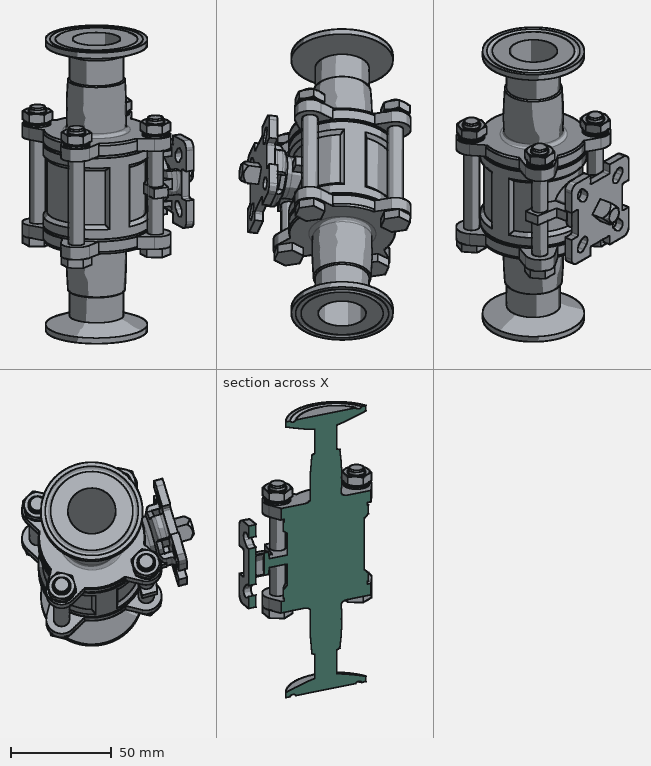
import cadquery as cq
import math


half_length = 75.0
bore_dia = 23.7
ferrule_dia = 50.5
ferrule_rim = 3.0
ferrule_height = 7.5
tube_dia = 26.8
groove_inner_r = 20.4
groove_outer_r = 23.1
groove_depth = 0.9
hub_end_z = 54.6
hub_end_r = 14.2
hub_lip = 0.6
hub_belly_z = 42.0
hub_belly_r = 14.8
hub_root_r = 14.7
hub_root_fillet = 2.0

overall_width = 59.0
disc_dia = 53.0
plate_inner_z = 22.0
plate_outer_z = 28.5
disc_edge_width = 0.5
disc_edge_height = 1.2
lug_r = 7.6
bolt_offset = overall_width / 2 - lug_r
lug_half_taper = 15.0
body_dia = disc_dia
body_half_height = 20.8
neck_dia = 52.0
recess_dia = 49.0
recess_half_height = 15.9
recess_slope = 2.0
strip_half_width = 5.4
strip_slope = 1.4

bolt_dia = 8.0
thread_end_z = 37.5
thread_chamfer_height = 0.9
thread_chamfer_width = 0.38
hex_flats = 13.0
hex_chamfer = 0.5
countersink_dia = 9.2
countersink_depth = 0.6
washer_dia = 13.0
washer_top_z = 29.4
seat_dia = 12.8
nut_bottom_z = 30.3
nut_top_z = 35.2
head_height = 4.5

mount_back_y = 38.5
mount_front_y = 42.8
mount_size = 45.0
mount_corner_r = 4.0
notch_width = 15.2
notch_depth = 5.1
notch_corner_r = 0.9
slot_width = 5.5
slot_inner_r = 18.0
slot_outer_r = 21.0
boss_dia = 21.0
boss_flare_y = 28.2
cup_root_r = 11.2
rim_r = 13.0
rim_y = 34.2
leg_width = 12.5
leg_outer_r = 15.6
leg_foot_r = 1.6
leg_knee_y = 34.2
leg_knee_r = 2.1
leg_slope = 27.5

overall_depth = 81.2
stem_dia = 12.5
stem_tip_y = overall_depth - overall_width / 2
stem_tip_chamfer = 2.4

stop_half_height = 2.5
stop_left_x = -16.5
stop_right_x = 28.2
stop_bar_y = 27.8
stop_end_y = 25.8
stop_root_y = 18.0
stop_post_inner_x = 9.0
stop_post_x = 15.9


def cylinder_z(diameter, bottom, top):
    return cq.Workplane("XY").workplane(offset=bottom).circle(diameter / 2).extrude(top - bottom)


def cylinder_y(diameter, start, end):
    return cq.Workplane("XZ").workplane(offset=-start).circle(diameter / 2).extrude(start - end)


def box_between(x_range, y_range, z_range):
    sizes = [end - start for start, end in (x_range, y_range, z_range)]
    corner = (x_range[0], y_range[0], z_range[0])
    return cq.Workplane("XY").box(*sizes, centered=False).translate(corner)


def hexagon(bottom, top):
    across_corners = hex_flats / math.cos(math.pi / 6)
    return cq.Workplane("XY").workplane(offset=bottom).polygon(6, across_corners).extrude(top - bottom)


def end_fitting():
    root_z = plate_outer_z + hub_root_fillet
    fillet_mid = hub_root_fillet * (1 - math.sqrt(0.5))
    groove_mid_r = (groove_inner_r + groove_outer_r) / 2
    return (
        cq.Workplane("XZ")
        .moveTo(0, plate_inner_z)
        .lineTo(hub_root_r + hub_root_fillet, plate_inner_z)
        .lineTo(hub_root_r + hub_root_fillet, plate_outer_z)
        .threePointArc((hub_root_r + fillet_mid, plate_outer_z + fillet_mid), (hub_root_r, root_z))
        .threePointArc((hub_belly_r, hub_belly_z), (hub_end_r, hub_end_z - hub_lip))
        .lineTo(tube_dia / 2, hub_end_z)
        .lineTo(tube_dia / 2, half_length - ferrule_height)
        .lineTo(ferrule_dia / 2, half_length - ferrule_rim)
        .lineTo(ferrule_dia / 2, half_length)
        .lineTo(groove_outer_r, half_length)
        .threePointArc((groove_mid_r, half_length - groove_depth), (groove_inner_r, half_length))
        .lineTo(0, half_length)
        .close()
        .revolve(360, (0, 0, 0), (0, 1, 0))
    )


def clamp_lug():
    taper = math.radians(lug_half_taper)
    centre = math.hypot(bolt_offset, bolt_offset)
    tangent_x = centre + lug_r * math.sin(taper)
    tangent_y = lug_r * math.cos(taper)
    root_x = disc_dia / 2 * math.cos(math.pi / 6)
    root_y = tangent_y + (tangent_x - root_x) * math.tan(taper)
    return (
        cq.Workplane("XY")
        .workplane(offset=plate_inner_z)
        .moveTo(root_x, -root_y)
        .lineTo(tangent_x, -tangent_y)
        .threePointArc((centre + lug_r, 0), (tangent_x, tangent_y))
        .lineTo(root_x, root_y)
        .close()
        .extrude(plate_outer_z - plate_inner_z)
        .rotate((0, 0, 0), (0, 0, 1), 45)
    )


def clamp_plate():
    disc_r = disc_dia / 2
    plate = (
        cq.Workplane("XZ")
        .moveTo(0, plate_inner_z)
        .lineTo(disc_r, plate_inner_z)
        .lineTo(disc_r, plate_outer_z - disc_edge_height)
        .lineTo(disc_r - disc_edge_width, plate_outer_z)
        .lineTo(0, plate_outer_z)
        .close()
        .revolve(360, (0, 0, 0), (0, 1, 0))
    )
    for quarter in range(4):
        plate = plate.union(clamp_lug().rotate((0, 0, 0), (0, 0, 1), 90 * quarter))
    return plate


def valve_body():
    body_r = body_dia / 2
    recess_r = recess_dia / 2
    ring = (
        cq.Workplane("XZ")
        .moveTo(recess_r, recess_slope - recess_half_height)
        .lineTo(body_r, -recess_half_height)
        .lineTo(body_r, recess_half_height)
        .lineTo(recess_r, recess_half_height - recess_slope)
        .close()
        .revolve(360, (0, 0, 0), (0, 1, 0))
    )
    crest = (math.sqrt(body_r**2 - strip_half_width**2), strip_half_width)
    foot_half_width = strip_half_width + strip_slope
    foot = (math.sqrt(recess_r**2 - foot_half_width**2), foot_half_width)
    strip = (
        cq.Workplane("XY")
        .workplane(offset=-recess_half_height)
        .lineTo(*foot)
        .lineTo(*crest)
        .threePointArc((body_r, 0), (crest[0], -crest[1]))
        .lineTo(foot[0], -foot[1])
        .close()
        .extrude(2 * recess_half_height)
    )
    ring = ring.cut(strip).cut(strip.mirror("YZ"))
    body = cylinder_z(body_dia, -body_half_height, body_half_height)
    return body.union(cylinder_z(neck_dia, -plate_inner_z, plate_inner_z)).cut(ring)


def bolt():
    head = hexagon(-plate_outer_z - head_height, -plate_outer_z)
    shank = cylinder_z(bolt_dia, -plate_outer_z, plate_outer_z)
    washer = cylinder_z(washer_dia, plate_outer_z, washer_top_z)
    seat = cylinder_z(seat_dia, washer_top_z, nut_bottom_z)
    chamfer_cone = (
        cq.Workplane("XY")
        .workplane(offset=nut_bottom_z)
        .circle(hex_flats / math.sqrt(3))
        .extrude(nut_top_z - nut_bottom_z)
        .edges()
        .chamfer(hex_chamfer, hex_flats / math.sqrt(3) - hex_flats / 2)
    )
    nut = hexagon(nut_bottom_z, nut_top_z).intersect(chamfer_cone)
    countersink = (
        cylinder_z(countersink_dia, nut_top_z - countersink_depth, nut_top_z)
        .faces("<Z")
        .chamfer(countersink_depth / 2, (countersink_dia - bolt_dia) / 2)
    )
    nut = nut.cut(countersink)
    thread = (
        cylinder_z(bolt_dia, plate_outer_z, thread_end_z)
        .faces(">Z")
        .chamfer(thread_chamfer_height, thread_chamfer_width)
    )
    return head.union(shank).union(washer).union(seat).union(nut).union(thread)


def mount_plate():
    half = mount_size / 2
    thickness = mount_front_y - mount_back_y
    back = cq.Workplane("XZ").workplane(offset=-mount_back_y)
    plate = back.rect(mount_size, mount_size).extrude(-thickness).edges("|Y").fillet(mount_corner_r)
    notch = (
        back.center(half, 0)
        .rect(2 * notch_depth, notch_width)
        .extrude(-thickness)
        .edges("|Y")
        .fillet(notch_corner_r)
    )
    slot_length = slot_outer_r - slot_inner_r + slot_width
    slot = (
        back.center((slot_inner_r + slot_outer_r) / 2, 0)
        .slot2D(slot_length, slot_width)
        .extrude(-thickness)
    )
    for quarter in range(4):
        plate = plate.cut(notch.rotate((0, 0, 0), (0, 1, 0), 90 * quarter))
        plate = plate.cut(slot.rotate((0, 0, 0), (0, 1, 0), 45 + 90 * quarter))
    return plate


def bracket_base():
    slope = math.radians(leg_slope)
    knee_x = leg_outer_r - leg_knee_r * (1 - math.sin(slope))
    knee_y = leg_knee_y - leg_knee_r * math.cos(slope)
    cup_root_y = knee_y - (knee_x - cup_root_r) * math.tan(slope)
    return (
        cq.Workplane("XY")
        .lineTo(boss_dia / 2, 0)
        .lineTo(boss_dia / 2, boss_flare_y)
        .lineTo(cup_root_r, cup_root_y)
        .lineTo(knee_x, knee_y)
        .radiusArc((leg_outer_r, leg_knee_y), -leg_knee_r)
        .lineTo(leg_outer_r, mount_back_y - leg_foot_r)
        .radiusArc((leg_outer_r + leg_foot_r, mount_back_y), leg_foot_r)
        .lineTo(0, mount_back_y)
        .close()
        .revolve(360, (0, 0, 0), (0, 1, 0))
    )


def bracket():
    base = bracket_base()
    core = base.intersect(cylinder_y(2 * rim_r, 0, rim_y))
    wall = base.cut(cylinder_y(2 * rim_r, 0, mount_back_y))
    width = (-leg_width / 2, leg_width / 2)
    reach = (-mount_size / 2, mount_size / 2)
    height = (boss_flare_y, mount_back_y)
    legs_x = wall.intersect(box_between(reach, height, width))
    legs_z = wall.intersect(box_between(width, height, reach))
    return core.union(legs_x).union(legs_z)


def stem():
    shaft = cylinder_y(stem_dia, 0, mount_front_y)
    drive = (
        cq.Workplane("XZ")
        .workplane(offset=-mount_back_y)
        .polygon(4, stem_dia)
        .extrude(mount_back_y - stem_tip_y)
    )
    tip = cylinder_y(stem_dia, mount_back_y, stem_tip_y).faces(">Y").chamfer(stem_tip_chamfer)
    return shaft.union(drive.intersect(tip))


def stop_arm():
    outline = [
        (stop_left_x, stop_root_y),
        (stop_left_x, stop_bar_y),
        (stop_post_inner_x, stop_bar_y),
        (stop_post_inner_x, rim_y),
        (stop_post_x, rim_y),
        (stop_post_x, stop_bar_y),
        (stop_right_x, stop_end_y),
        (stop_right_x, stop_root_y),
    ]
    return (
        cq.Workplane("XY")
        .workplane(offset=-stop_half_height)
        .polyline(outline)
        .close()
        .extrude(2 * stop_half_height)
    )


result = valve_body()
for upper in (end_fitting(), clamp_plate()):
    result = result.union(upper).union(upper.mirror("XY"))
for x_side in (-1, 1):
    for y_side in (-1, 1):
        result = result.union(bolt().translate((x_side * bolt_offset, y_side * bolt_offset, 0)))
for feature in (bracket(), mount_plate(), stop_arm(), stem()):
    result = result.union(feature)
result = result.cut(cylinder_z(bore_dia, -half_length, half_length))